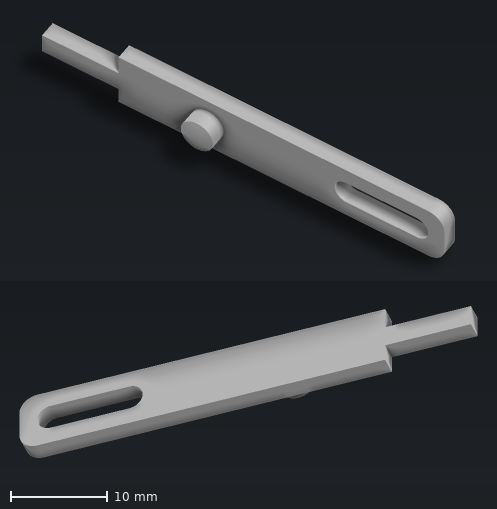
import cadquery as cq

total_length = 50.0
plate_height = 7.0
thickness = 2.0
corner_radius = 2.0
tang_length = 9.5
tang_height = 2.5
tang_drop = 0.25

slot_height = 3.0
slot_start = 36.35
slot_end = 48.0

pin_x = 20.6
pin_radius = 2.0
pin_projection = 2.5
dome_height = 0.45


def make_plate():
    """Plate with its front face on Y = 0 and two rounded end corners."""
    plate_length = total_length - tang_length
    plate = (
        cq.Workplane("XY")
        .box(plate_length, thickness, plate_height, centered=(False, False, True))
        .translate((tang_length, 0, 0))
        .edges("|Y and >X")
        .fillet(corner_radius)
    )
    tang = (
        cq.Workplane("XY")
        .box(tang_length, thickness, tang_height, centered=(False, False, True))
        .translate((0, 0, -tang_drop))
    )
    return plate.union(tang)


def make_slot():
    """Round-ended cutter through the full thickness."""
    return (
        cq.Workplane("XZ")
        .center((slot_start + slot_end) / 2, 0)
        .slot2D(slot_end - slot_start, slot_height)
        .extrude(-thickness)
    )


def make_pin():
    """Cylinder with a spherical cap, revolved about an axis along Y."""
    shoulder_y = dome_height - pin_projection
    dome_radius = (pin_radius**2 + dome_height**2) / (2 * dome_height)
    dome_center_y = dome_radius - pin_projection
    mid_radius = pin_radius / 2
    mid_y = dome_center_y - (dome_radius**2 - mid_radius**2) ** 0.5
    return (
        cq.Workplane("ZY")
        .lineTo(pin_radius, 0)
        .lineTo(pin_radius, shoulder_y)
        .threePointArc((mid_radius, mid_y), (0, -pin_projection))
        .close()
        .revolve(360, (0, 0, 0), (0, 1, 0))
        .translate((pin_x, 0, 0))
    )


result = make_plate().cut(make_slot()).union(make_pin())